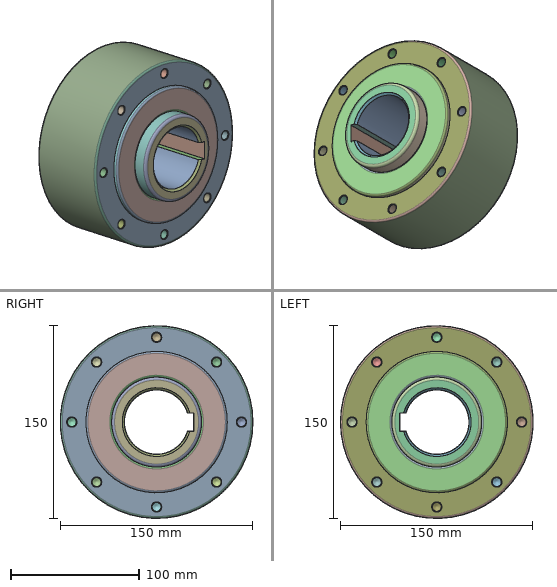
import cadquery as cq
import math

HUB_LENGTH = 94.0
HUB_DIAMETER = 70.0
HUB_FILLET = 2.3
COVER_LENGTH = 72.0
COVER_DIAMETER = 110.0
COVER_FILLET = 1.5
BODY_LENGTH = 64.0
BODY_DIAMETER = 150.0
BODY_FILLET = 1.5

RELIEF_RADIUS = 1.5

BORE_DIAMETER = 50.0
BORE_CHAMFER = 1.75
KEYWAY_WIDTH = 14.0
KEYWAY_DEPTH = 3.8

HOLE_COUNT = 8
HOLE_CIRCLE_DIAMETER = 132.0
HOLE_DIAMETER = 7.0
HOLE_MOUTH_DIAMETER = 8.0
HOLE_DEPTH = 20.0
DRILL_POINT_ANGLE = 118.0


def rounded_disc(diameter, length, fillet):
    """Cylinder along X, centred on the origin, with both rims rounded."""
    disc = cq.Workplane("YZ").workplane(offset=-length / 2).circle(diameter / 2).extrude(length)
    return disc.faces("<X or >X").edges().fillet(fillet)


def revolved_about_x(points):
    """Solid of revolution about X from (axial, radial) points."""
    return cq.Workplane("XY").polyline(points).close().revolve(360, (0, 0, 0), (1, 0, 0))


def both_ends(cutter):
    """The cutter together with its mirror image on the other end."""
    return cutter.union(cutter.mirror("YZ"))


def cover_relief():
    """Recess in the cover end, flaring out to the cover face with a rounded rim."""
    face = -COVER_LENGTH / 2
    floor = face + RELIEF_RADIUS
    hub_radius = HUB_DIAMETER / 2
    arc_offset = RELIEF_RADIUS * (1 - math.sqrt(0.5))
    profile = (
        cq.Workplane("XY")
        .moveTo(face, 0)
        .lineTo(face, hub_radius + RELIEF_RADIUS)
        .threePointArc((face + arc_offset, hub_radius + arc_offset), (floor, hub_radius))
        .lineTo(floor, 0)
        .close()
    )
    return profile.revolve(360, (0, 0, 0), (1, 0, 0))


def bore():
    """Through bore with a chamfer at each end."""
    end = HUB_LENGTH / 2
    radius = BORE_DIAMETER / 2
    return revolved_about_x([
        (-end, 0),
        (-end, radius + BORE_CHAMFER),
        (-end + BORE_CHAMFER, radius),
        (end - BORE_CHAMFER, radius),
        (end, radius + BORE_CHAMFER),
        (end, 0),
    ])


def keyway():
    """Through keyway on the +Y side of the bore."""
    reach = BORE_DIAMETER / 2 + KEYWAY_DEPTH
    return cq.Workplane("XY").box(HUB_LENGTH, reach, KEYWAY_WIDTH).translate((0, reach / 2, 0))


def face_holes():
    """Ring of countersunk blind holes with conical bottoms, in the -X body face."""
    face = -BODY_LENGTH / 2
    radius = HOLE_DIAMETER / 2
    mouth_radius = HOLE_MOUTH_DIAMETER / 2
    mouth_depth = mouth_radius - radius
    point_depth = radius / math.tan(math.radians(DRILL_POINT_ANGLE / 2))
    hole = revolved_about_x([
        (face, 0),
        (face, mouth_radius),
        (face + mouth_depth, radius),
        (face + HOLE_DEPTH, radius),
        (face + HOLE_DEPTH + point_depth, 0),
    ]).translate((0, HOLE_CIRCLE_DIAMETER / 2, 0))
    holes = cq.Workplane("XY")
    for index in range(HOLE_COUNT):
        angle = index * 360 / HOLE_COUNT
        holes = holes.add(hole.rotate((0, 0, 0), (1, 0, 0), angle))
    return holes.combine()


hub = rounded_disc(HUB_DIAMETER, HUB_LENGTH, HUB_FILLET)
cover = rounded_disc(COVER_DIAMETER, COVER_LENGTH, COVER_FILLET)
body = rounded_disc(BODY_DIAMETER, BODY_LENGTH, BODY_FILLET)

cover = cover.cut(both_ends(cover_relief()))
result = body.union(cover).union(hub)
result = result.cut(bore())
result = result.cut(keyway())
result = result.cut(both_ends(face_holes()))